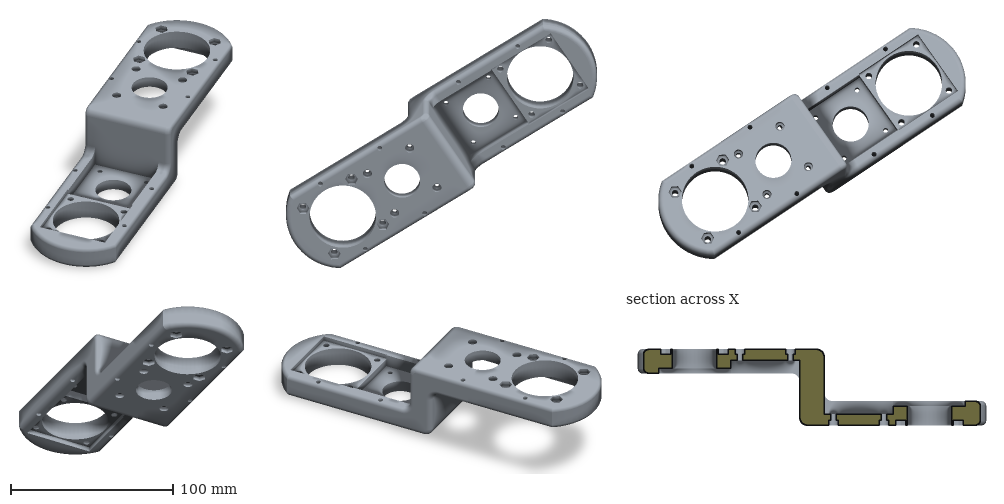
import cadquery as cq
import math

WIDTH = 57.0
LENGTH = 214.67
HEIGHT = 47.0
DECK_THICKNESS = 15.0

END_RADIUS = 35.0
BEND_RADIUS = 5.0
EDGE_RADIUS = 3.0

MOTOR_POCKET_SIZE = 42.3
MOTOR_POCKET_DEPTH = 8.0
MOTOR_BORE_DIAMETER = 22.2
MOTOR_SCREW_PITCH = 31.0
MOTOR_SCREW_DIAMETER = 3.0
SCREW_HEAD_DIAMETER = 5.6
SCREW_HEAD_DEPTH = 3.0

STATION_SPACING = 43.5
BEARING_POCKET_WIDTH = 43.5
BEARING_POCKET_DEPTH = 3.0
BEARING_BORE_DIAMETER = 41.0
BEARING_SCREW_PITCH = 35.5
BEARING_SCREW_DIAMETER = 4.0
NUT_ACROSS_FLATS = 7.0
NUT_DEPTH = 3.0

PIN_DIAMETER = 3.0
PIN_INSET = EDGE_RADIUS

HALF_WIDTH = WIDTH / 2
HALF_LENGTH = LENGTH / 2
HALF_HEIGHT = HEIGHT / 2
BEARING_Y = HALF_LENGTH - END_RADIUS
MOTOR_Y = BEARING_Y - STATION_SPACING
RISER_HALF_THICKNESS = MOTOR_Y - MOTOR_POCKET_SIZE / 2
UPPER_DECK_BOTTOM = HALF_HEIGHT - DECK_THICKNESS
END_CORNER_Y = BEARING_Y + math.sqrt(END_RADIUS**2 - HALF_WIDTH**2)


def z_shaped_block():
    """Two decks joined by a riser, with rounded bends, extruded across the full width."""
    outline = [
        (HALF_LENGTH, HALF_HEIGHT),
        (-RISER_HALF_THICKNESS, HALF_HEIGHT),
        (-RISER_HALF_THICKNESS, -UPPER_DECK_BOTTOM),
        (-HALF_LENGTH, -UPPER_DECK_BOTTOM),
        (-HALF_LENGTH, -HALF_HEIGHT),
        (RISER_HALF_THICKNESS, -HALF_HEIGHT),
        (RISER_HALF_THICKNESS, UPPER_DECK_BOTTOM),
        (HALF_LENGTH, UPPER_DECK_BOTTOM),
    ]
    block = cq.Workplane("YZ").polyline(outline).close().extrude(HALF_WIDTH, both=True)
    riser_zone = cq.selectors.BoxSelector(
        (-WIDTH, -2 * RISER_HALF_THICKNESS, -HEIGHT),
        (WIDTH, 2 * RISER_HALF_THICKNESS, HEIGHT),
    )
    return block.edges("|X").edges(riser_zone).fillet(BEND_RADIUS)


def plan_outline():
    """Straight-sided plan with an arc at each end, taller than the part."""
    return (
        cq.Workplane("XY", origin=(0, 0, -HEIGHT))
        .moveTo(HALF_WIDTH, -END_CORNER_Y)
        .lineTo(HALF_WIDTH, END_CORNER_Y)
        .threePointArc((0, HALF_LENGTH), (-HALF_WIDTH, END_CORNER_Y))
        .lineTo(-HALF_WIDTH, -END_CORNER_Y)
        .threePointArc((0, -HALF_LENGTH), (HALF_WIDTH, -END_CORNER_Y))
        .close()
        .extrude(2 * HEIGHT)
    )


def rounded_body():
    """Z-shaped body with its whole rim rounded: sides, bends, riser and end arcs."""
    body = z_shaped_block().intersect(plan_outline())
    return body.edges("not (|X or |Z)").fillet(EDGE_RADIUS)


def on_top_deck(y):
    """Workplane on top of the upper deck, centred on a station; cuts go down (negative)."""
    return cq.Workplane("XY", origin=(0, y, HALF_HEIGHT))


def square_of_points(y, pitch):
    """Four points at the corners of a square on top of the upper deck, centred on a station."""
    return on_top_deck(y).rect(pitch, pitch, forConstruction=True).vertices()


def motor_station():
    """Material removed from the upper deck, and from its inner bend, for the motor."""
    pocket = (
        cq.Workplane("XY", origin=(0, MOTOR_Y, UPPER_DECK_BOTTOM - BEND_RADIUS))
        .rect(MOTOR_POCKET_SIZE, MOTOR_POCKET_SIZE)
        .extrude(BEND_RADIUS + MOTOR_POCKET_DEPTH)
    )
    bore = on_top_deck(MOTOR_Y).circle(MOTOR_BORE_DIAMETER / 2).extrude(-DECK_THICKNESS)
    corners = square_of_points(MOTOR_Y, MOTOR_SCREW_PITCH)
    screws = corners.circle(MOTOR_SCREW_DIAMETER / 2).extrude(-DECK_THICKNESS)
    heads = corners.circle(SCREW_HEAD_DIAMETER / 2).extrude(-SCREW_HEAD_DEPTH)
    return pocket.union(bore).union(screws).union(heads)


def bearing_station():
    """Material removed from the upper deck for the bearing; its pocket opens into the motor pocket."""
    nut_across_corners = NUT_ACROSS_FLATS / math.cos(math.pi / 6)
    pocket_near_y = MOTOR_Y + MOTOR_POCKET_SIZE / 2
    pocket_far_y = BEARING_Y + BEARING_POCKET_WIDTH / 2
    pocket = (
        cq.Workplane("XY", origin=(0, (pocket_near_y + pocket_far_y) / 2, UPPER_DECK_BOTTOM))
        .rect(BEARING_POCKET_WIDTH, pocket_far_y - pocket_near_y)
        .extrude(BEARING_POCKET_DEPTH)
    )
    bore = on_top_deck(BEARING_Y).circle(BEARING_BORE_DIAMETER / 2).extrude(-DECK_THICKNESS)
    corners = square_of_points(BEARING_Y, BEARING_SCREW_PITCH)
    screws = corners.circle(BEARING_SCREW_DIAMETER / 2).extrude(-DECK_THICKNESS)
    nuts = corners.polygon(6, nut_across_corners).extrude(-NUT_DEPTH)
    return pocket.union(bore).union(screws).union(nuts)


def pin_holes():
    """Through holes in both side rims of the upper deck, level with each station."""
    pin_x = HALF_WIDTH - PIN_INSET
    places = [(x, y) for x in (-pin_x, pin_x) for y in (MOTOR_Y, BEARING_Y)]
    return on_top_deck(0).pushPoints(places).circle(PIN_DIAMETER / 2).extrude(-DECK_THICKNESS)


def build_part():
    """The lower deck is the upper deck turned half a turn about the X axis."""
    body = rounded_body()
    for cutter in (motor_station(), bearing_station(), pin_holes()):
        body = body.cut(cutter)
        body = body.cut(cutter.rotate((0, 0, 0), (1, 0, 0), 180))
    return body


result = build_part()